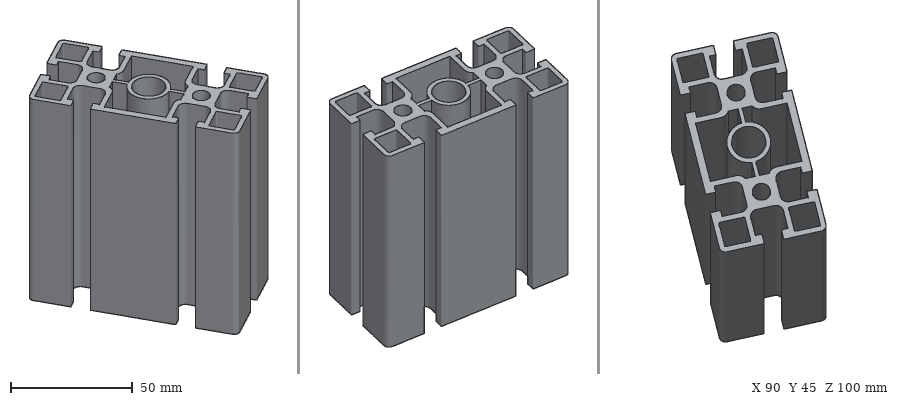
import cadquery as cq

length = 100.0
width = 90.0
depth = 45.0
corner_radius = 2.5
half_depth = depth / 2
half_width = width / 2

mouth_width = 8.3
lip_thickness = 4.3
lip_edge_radius = 0.3
chamber_width = 13.8
slot_depth = 15.4
chamber_radius = 3.2

core_offset = width / 4
bore_diameter = 7.4

box_size = 11.0
box_wall = 2.3
box_radius = 0.6

cavity_width = 26.4
cavity_wall = 3.2
recess_width = 30.6
shoulder_height = 8.5
shoulder_radius = 4.0
tube_outer_diameter = 18.0
tube_inner_diameter = 14.0
web_thickness = 1.7


def bar(x_size, y_size, x=0.0, y=0.0):
    """Full-length rectangular bar centred on (x, y)."""
    return cq.Workplane("XY").center(x, y).rect(x_size, y_size).extrude(length)


def rod(diameter, x=0.0, y=0.0):
    """Full-length round bar centred on (x, y)."""
    return cq.Workplane("XY").center(x, y).circle(diameter / 2).extrude(length)


def t_slot():
    """Slot cutter opening toward +Y, with its mouth plane at y = 0."""
    chamber_depth = slot_depth - lip_thickness
    chamber = bar(chamber_width, chamber_depth, 0, -lip_thickness - chamber_depth / 2)
    chamber = chamber.edges("|Z and <Y").fillet(chamber_radius)
    mouth = bar(mouth_width, lip_thickness, 0, -lip_thickness / 2)
    flare = bar(chamber_width, lip_edge_radius, 0, lip_edge_radius / 2)
    cutter = chamber.union(mouth).union(flare)
    reach = mouth_width / 2 + lip_edge_radius
    lip_edges = cq.selectors.BoxSelector(
        (-reach, -lip_thickness - lip_edge_radius, 0),
        (reach, lip_edge_radius / 2, length),
    )
    return cutter.edges("|Z").edges(lip_edges).fillet(lip_edge_radius)


def central_cavity():
    """Cavity cutter, including the side recesses and less the rounded core shoulders."""
    cavity = bar(cavity_width, depth - 2 * cavity_wall)
    cavity = cavity.union(bar(recess_width, 2 * shoulder_height))
    shoulder_x = cavity_width / 2 + shoulder_radius
    for x_sign in (-1, 1):
        for y_sign in (-1, 1):
            x = x_sign * shoulder_x
            y = y_sign * shoulder_height
            cavity = cavity.cut(rod(2 * shoulder_radius, x, y))
    return cavity


profile = bar(width, depth).edges("|Z").fillet(corner_radius)

slot = t_slot()
for x in (-core_offset, core_offset):
    upper_slot = slot.translate((x, half_depth, 0))
    profile = profile.cut(upper_slot).cut(upper_slot.mirror("XZ"))
    profile = profile.cut(rod(bore_diameter, x))
right_slot = slot.rotate((0, 0, 0), (0, 0, 1), -90).translate((half_width, 0, 0))
profile = profile.cut(right_slot).cut(right_slot.mirror("YZ"))

box_hole = bar(box_size, box_size).edges("|Z").fillet(box_radius)
for x_sign in (-1, 1):
    for y_sign in (-1, 1):
        x = x_sign * (half_width - box_wall - box_size / 2)
        y = y_sign * (half_depth - box_wall - box_size / 2)
        profile = profile.cut(box_hole.translate((x, y, 0)))

profile = profile.cut(central_cavity())
profile = profile.union(bar(recess_width, web_thickness)).union(rod(tube_outer_diameter))
result = profile.cut(rod(tube_inner_diameter))